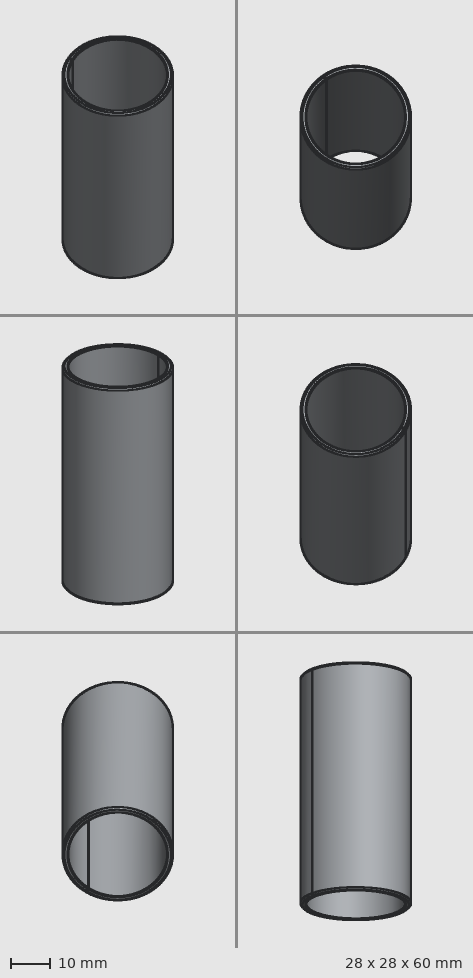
import cadquery as cq

outer_diameter = 28.0
wall_thickness = 1.5
length = 60.0
outer_chamfer = 0.5
inner_chamfer = 0.2
joint_gap_angle = 1.0

outer_radius = outer_diameter / 2
inner_radius = outer_radius - wall_thickness
half_length = length / 2


def wall_section():
    """Wall cross-section on the -X side, its four corners bevelled, in the XZ plane."""
    upper_half = [
        (-inner_radius, half_length - inner_chamfer),
        (-inner_radius - inner_chamfer, half_length),
        (-outer_radius + outer_chamfer, half_length),
        (-outer_radius, half_length - outer_chamfer),
    ]
    lower_half = [(x, -z) for x, z in reversed(upper_half)]
    return cq.Workplane("XZ").polyline(upper_half + lower_half).close()


def rolled_sleeve():
    """Section swept counterclockwise from -X, stopping short so the joint opens on the +Y side."""
    return wall_section().revolve(360 - joint_gap_angle, (0, 0, 0), (0, 1, 0))


result = rolled_sleeve()